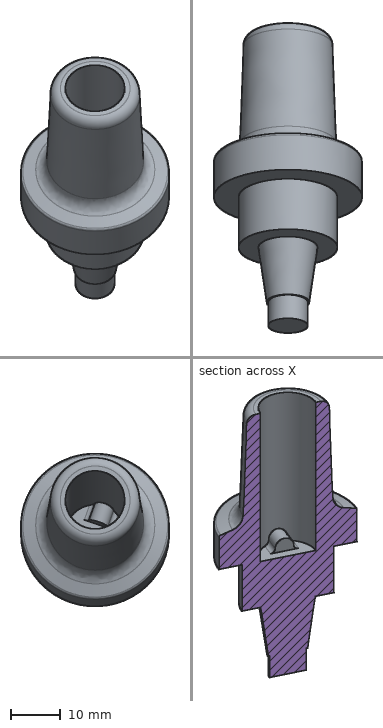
import cadquery as cq
import math

total_height = 63.0
tip_top = 5.1
stem_bottom = 17.0
flange_bottom = 28.0
flange_edge_top = 36.0
bore_floor = flange_bottom

tip_diameter = 8.0
nozzle_small_diameter = 8.6
nozzle_large_diameter = 12.0
stem_diameter = 20.0
flange_diameter = 30.0
barrel_top_diameter = 17.95
bore_diameter = 12.0

barrel_draft = 2.0
flange_slope = 15.0

rim_radius = 2.0
neck_radius = 3.0
flange_edge_radius = 0.5

ridge_gap = 4.0
ridge_crest_radius = 2.0
ridge_foot_radius = 1.0


def neck_corner():
    """Radius and height where the barrel taper meets the flange slope."""
    barrel_rate = math.tan(math.radians(barrel_draft))
    flange_rate = math.tan(math.radians(flange_slope))
    flange_radius = flange_diameter / 2
    barrel_radius = barrel_top_diameter / 2
    rise_at_barrel = flange_edge_top + flange_rate * (flange_radius - barrel_radius)
    slope_product = flange_rate * barrel_rate
    height = (rise_at_barrel - slope_product * total_height) / (1 - slope_product)
    return barrel_radius + barrel_rate * (total_height - height), height


def round_circle(body, height, radius):
    """Fillet the circular edge centred on the axis at the given height."""
    edge = cq.selectors.NearestToPointSelector((0, 0, height))
    return body.edges("%CIRCLE").edges(edge).fillet(radius)


def make_body():
    """Turned outer shape: tip, nozzle, stem, flange and tapered barrel."""
    neck_r, neck_z = neck_corner()
    body = (
        cq.Workplane("XZ")
        .moveTo(0, 0)
        .lineTo(tip_diameter / 2, 0)
        .lineTo(tip_diameter / 2, tip_top)
        .lineTo(nozzle_small_diameter / 2, tip_top)
        .lineTo(nozzle_large_diameter / 2, stem_bottom)
        .lineTo(stem_diameter / 2, stem_bottom)
        .lineTo(stem_diameter / 2, flange_bottom)
        .lineTo(flange_diameter / 2, flange_bottom)
        .lineTo(flange_diameter / 2, flange_edge_top)
        .lineTo(neck_r, neck_z)
        .lineTo(barrel_top_diameter / 2, total_height)
        .lineTo(0, total_height)
        .close()
        .revolve(360, (0, 0, 0), (0, 1, 0))
    )
    body = round_circle(body, total_height, rim_radius)
    body = round_circle(body, neck_z, neck_radius)
    return round_circle(body, flange_edge_top, flange_edge_radius)


def make_bore():
    """Blind bore from the top of the barrel down to the floor."""
    return (
        cq.Workplane("XY", origin=(0, 0, bore_floor))
        .circle(bore_diameter / 2)
        .extrude(total_height - bore_floor)
    )


def make_ridges():
    """Two ridges along X that start beside the central gap and end in the bore wall."""
    foot_half_width = ridge_crest_radius + ridge_foot_radius
    foot_offset = ridge_foot_radius * (1 - math.sqrt(0.5))
    ridge_end = bore_diameter / 2
    ridge_bar = (
        cq.Workplane("YZ", origin=(-ridge_end, 0, bore_floor))
        .moveTo(-foot_half_width, 0)
        .threePointArc(
            (-ridge_crest_radius - foot_offset, foot_offset),
            (-ridge_crest_radius, ridge_foot_radius),
        )
        .threePointArc((0, foot_half_width), (ridge_crest_radius, ridge_foot_radius))
        .threePointArc((ridge_crest_radius + foot_offset, foot_offset), (foot_half_width, 0))
        .close()
        .extrude(2 * ridge_end)
    )
    gap = cq.Workplane("XY").box(ridge_gap, bore_diameter, 2 * total_height)
    return ridge_bar.cut(gap)


result = make_body().cut(make_bore().cut(make_ridges()))